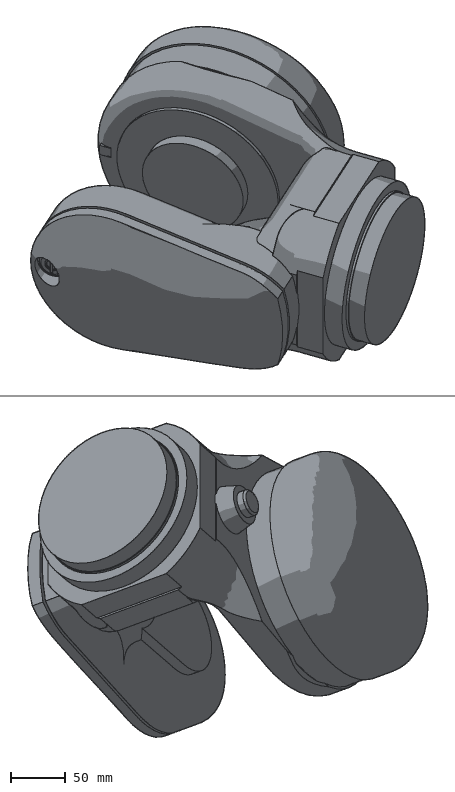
import cadquery as cq
import math


cap_radius = 106.0
barrel_radius = 104.0
arm_radius = 106.0
arm_taper = math.radians(12)
waist_radius = 150.0
arm_inner_y = 48.4
arm_back_y = 84.0
barrel_start_y = 81.4
cap_start_y = 111.0
cap_apex_y = 167.4
dome_radius_x = 295.0
dome_radius_z = 230.0
cap_fillet = 20.0
arm_edge_fillet = 17.0
disc_radius = 80.0
disc_y = 45.0
spigot_radius = 50.0
spigot_y = 34.2
tab_size = 11.0
tab_center_x = -92.5
tab_y = 47.5
tab_depth = 10.0

hub_end_x = 154.0
hub_half = 85.0
block_half = 83.0
block_end_x = 179.5
corner_radius = 95.0
flare_start_x = 148.0
flare_end_x = 72.0
flare_radius = 131.0
web_back_x = 128.2
web_nose_x = 92.0
web_radius = 118.0
web_corner_fillet = 28.0
web_edge_fillet = 8.0
ring_radius = 80.0
ring_end_x = 197.0
collar_radius = 71.0
collar_end_x = 199.3
flange_radius = 70.0
flange_end_x = 215.0

nub_x = 132.0
nub_base_radius = 22.8
nub_top_radius = 18.5
nub_top_y = 100.2
button_radius = 12.5
button_top_radius = 10.5
button_top_y = 108.8

front_center_x = -18.0
front_radius = 78.0
front_taper = math.radians(9)
corner_start_x = 112.0
corner_end_x = 150.0
corner_end_z = 40.0
front_end_x = 155.5
front_inner_y = -62.0
front_outer_y = -104.8
front_edge_fillet = 17.0
pad_radius = 45.0
pad_y = -51.3
pad_overlap = 5.0
gusset_axis_x = 99.0
gusset_tip = (7.0, 21.0)
gusset_side = (31.0, -12.0)
gusset_waist = (48.3, -45.7)
gusset_flare = (61.0, -60.7)
gusset_foot_radius = 78.0
groove_depth = 4.0
cover_start_y = -107.6
cover_rim_y = -117.5
cover_apex_y = -137.56
crown_sections = [
    (45.0, 69.0, -136.6),
    (112.0, 58.6, -131.0),
    (156.0, 48.0, -120.5),
]

screw_x = -76.0
screw_well_radius = 14.5
screw_well_y = -114.0
screw_head_radius = 12.5
screw_top_radius = 10.5
screw_head_height = 2.0
screw_recess_radius = 5.0
screw_ring_radius = 6.5
screw_recess_depth = 1.0
slot_depth = 1.5
slot_width = 2.5


def disc(radius, y_from, y_to, x=0.0):
    """Cylinder along Y."""
    return cq.Workplane("XZ", origin=(x, y_from, 0)).circle(radius).extrude(y_from - y_to)


def x_cylinder(radius, x_from, x_to):
    """Cylinder along X."""
    return cq.Workplane("YZ", origin=(x_from, 0, 0)).circle(radius).extrude(x_to - x_from)


def fork_blank():
    """Back arm outline carried forward over the full depth of the hub."""
    tangent = (arm_radius * math.sin(arm_taper), arm_radius * math.cos(arm_taper))
    meet_x = (arm_radius - hub_half * math.cos(arm_taper)) / math.sin(arm_taper)
    return (
        cq.Workplane("XZ", origin=(0, arm_back_y, 0))
        .moveTo(hub_end_x, hub_half)
        .lineTo(meet_x, hub_half)
        .lineTo(*tangent)
        .threePointArc((-arm_radius, 0), (tangent[0], -tangent[1]))
        .lineTo(meet_x, -hub_half)
        .lineTo(hub_end_x, -hub_half)
        .close()
        .extrude(arm_back_y + hub_half)
        .edges(cq.selectors.BoxSelector(
            (meet_x - 1, -2 * hub_half, -2 * hub_half), (meet_x + 1, 2 * hub_half, 2 * hub_half)
        ))
        .fillet(waist_radius)
    )


def hub_rounding():
    """Round envelope that flares out smoothly from the hub towards the arm."""
    return (
        cq.Workplane("XY")
        .moveTo(hub_end_x, 0)
        .lineTo(hub_end_x, corner_radius)
        .lineTo(flare_start_x, corner_radius)
        .tangentArcPoint((flare_end_x, flare_radius), relative=False)
        .lineTo(-cap_radius, flare_radius)
        .lineTo(-cap_radius, 0)
        .close()
        .revolve(360, (0, 0, 0), (1, 0, 0))
    )


def web_bulge():
    """Rounded nose that fills the root of the fork, its borders softened."""
    nose = disc(web_radius, arm_inner_y, -hub_half, web_nose_x + web_radius)
    bar = cq.Workplane("XY").box(hub_end_x, 4 * hub_half, 2 * hub_half, centered=(False, True, True))
    nose = nose.intersect(bar).intersect(x_cylinder(corner_radius, 0, hub_end_x))
    front = cq.selectors.NearestToPointSelector((web_nose_x, 0, 0))
    borders = nose.faces(front).edges(cq.selectors.BoxSelector(
        (0, -hub_half - 1, -hub_half - 1), (hub_end_x, arm_inner_y - 1, hub_half + 1),
    ))
    return borders.fillet(web_edge_fillet)


def arm_and_hub():
    """Back arm turning through a rounded corner into the hub, with the web's bulge."""
    length = 3 * arm_radius
    opening = (
        cq.Workplane("XY", origin=(web_back_x - length / 2, arm_inner_y - length / 2, 0))
        .box(length, length, length)
        .edges(">X and >Y")
        .fillet(web_corner_fillet)
    )
    body = fork_blank().cut(opening)
    inner_face = cq.selectors.NearestToPointSelector((0, arm_inner_y, 0))
    rim_start = cq.selectors.NearestToPointSelector((-arm_radius, arm_inner_y, 0))
    body = body.faces(inner_face).edges(rim_start).fillet(arm_edge_fillet)
    return body.intersect(hub_rounding()).union(web_bulge())


def flange():
    """Square block with rounded corners, then the round mounting steps."""
    square = cq.Workplane("XY").box(
        block_end_x - hub_end_x, 2 * block_half, 2 * block_half, centered=(False, True, True)
    )
    block = square.translate((hub_end_x, 0, 0)).intersect(x_cylinder(corner_radius, hub_end_x, block_end_x))
    ring = x_cylinder(ring_radius, block_end_x, ring_end_x)
    collar = x_cylinder(collar_radius, ring_end_x, collar_end_x)
    end = x_cylinder(flange_radius, collar_end_x, flange_end_x)
    return block.union(ring).union(collar).union(end)


def barrel():
    """Barrel with a cap whose dome curves more along Z than along X."""
    axis_y = cap_apex_y - dome_radius_x
    reach = 1.1 * cap_radius
    rim_y = cap_apex_y - dome_radius_z + math.sqrt(dome_radius_z**2 - reach**2)
    dome = (
        cq.Workplane("YZ")
        .moveTo(axis_y, -reach)
        .lineTo(rim_y, -reach)
        .threePointArc((cap_apex_y, 0), (rim_y, reach))
        .lineTo(axis_y, reach)
        .close()
        .revolve(360, (axis_y, 0, 0), (axis_y, 1, 0))
    )
    cap = disc(cap_radius, cap_start_y, cap_apex_y).intersect(dome)
    cap = cap.faces(cq.selectors.NearestToPointSelector((0, cap_apex_y, 0))).edges().fillet(cap_fillet)
    return cap.union(disc(barrel_radius, barrel_start_y, cap_start_y))


def nub():
    """Cone with a chamfered button on top, revolved about an axis along Y."""
    return (
        cq.Workplane("XY", origin=(nub_x, 0, 0))
        .moveTo(0, arm_inner_y)
        .lineTo(nub_base_radius, arm_inner_y)
        .lineTo(nub_base_radius, arm_back_y)
        .lineTo(nub_top_radius, nub_top_y)
        .lineTo(button_radius, nub_top_y)
        .lineTo(button_radius, button_top_y - button_radius + button_top_radius)
        .lineTo(button_top_radius, button_top_y)
        .lineTo(0, button_top_y)
        .close()
        .revolve(360, (0, 0, 0), (0, 1, 0))
    )


def teardrop(y_from, y_to, inset=0.0):
    """Plate with the outline shared by the front arm and its cover."""
    radius = front_radius - inset
    start_x = front_center_x - radius
    tangent = (front_center_x + radius * math.sin(front_taper), radius * math.cos(front_taper))
    corner_z = (radius - (corner_start_x - front_center_x) * math.sin(front_taper)) / math.cos(front_taper)
    mid_angle = (math.pi / 2 + front_taper) / 2
    mid = (front_center_x - radius * math.cos(mid_angle), radius * math.sin(mid_angle))
    end_z = corner_end_z - inset
    end_sag = front_end_x - corner_end_x
    end_radius = (end_z**2 + end_sag**2) / (2 * end_sag)
    return (
        cq.Workplane("XZ", origin=(0, y_from, 0))
        .moveTo(start_x, 0)
        .threePointArc(mid, tangent)
        .lineTo(corner_start_x, corner_z)
        .tangentArcPoint((corner_end_x - inset, end_z), relative=False)
        .radiusArc((front_end_x - inset, 0), end_radius)
        .mirrorX()
        .extrude(y_from - y_to)
    )


def front_arm():
    """Front arm with a rounded inner edge and a set-back neck under the cover."""
    arm = teardrop(front_inner_y, front_outer_y)
    arm = arm.faces(">Y").edges().fillet(front_edge_fillet)
    return arm.union(teardrop(front_outer_y, cover_start_y, groove_depth))


def pad():
    """Round-ended pad on the inner face of the front arm."""
    length = web_nose_x
    bar = (
        cq.Workplane("XZ", origin=(length / 2, pad_y, 0))
        .rect(length, 2 * pad_radius)
        .extrude(pad_y - front_inner_y + pad_overlap)
    )
    return bar.union(disc(pad_radius, pad_y, front_inner_y - pad_overlap))


def gusset():
    """Blunt cone with a flared foot that braces the web against the front arm."""
    cone = (
        cq.Workplane("XY", origin=(gusset_axis_x, 0, 0))
        .moveTo(0, gusset_tip[1])
        .lineTo(*gusset_tip)
        .threePointArc(gusset_side, gusset_waist)
        .threePointArc(gusset_flare, (gusset_foot_radius, front_inner_y - front_edge_fillet))
        .lineTo(0, front_inner_y - front_edge_fillet)
        .close()
        .revolve(360, (0, 0, 0), (0, 1, 0))
    )
    return cone.intersect(teardrop(gusset_tip[1], front_outer_y))


def tab():
    """Small index tab at the rim of the back arm's inner face."""
    block = cq.Workplane("XY").box(tab_size, tab_depth, tab_size, centered=(True, False, True))
    return block.translate((tab_center_x, tab_y, 0))


def dome_section(x, half_width, apex_y):
    """Segment of the cover's dome across X, as a closed wire."""
    return (
        cq.Workplane("YZ", origin=(x, 0, 0))
        .moveTo(cover_rim_y, -half_width)
        .threePointArc((apex_y, 0), (cover_rim_y, half_width))
        .close()
        .val()
    )


def screw():
    """Chamfered screw head with a ring groove and a slot."""
    top_y = screw_well_y - screw_head_height
    head = disc(screw_head_radius, screw_well_y, top_y, screw_x)
    head = head.faces("<Y").chamfer(screw_head_height / 2, screw_head_radius - screw_top_radius)
    rim = disc(screw_ring_radius, top_y + screw_recess_depth, top_y, screw_x)
    post = disc(screw_recess_radius, top_y + screw_recess_depth, top_y, screw_x)
    head = head.cut(rim.cut(post))
    slot = cq.Workplane("XY").box(slot_width, 2 * slot_depth, 2 * screw_top_radius)
    return head.cut(slot.translate((screw_x, top_y, 0)))


def cover():
    """Rim plate under a dome: a spherical end followed by a tapering crown."""
    rim = teardrop(cover_start_y, cover_rim_y)
    depth = cover_rim_y - cover_apex_y
    ball_radius = (front_radius**2 + depth**2) / (2 * depth)
    ball = cq.Workplane("XY").sphere(ball_radius)
    ball = ball.translate((front_center_x, cover_apex_y + ball_radius, 0))
    round_end = disc(front_radius, cover_rim_y, cover_apex_y, front_center_x).intersect(ball)
    sections = [dome_section(front_center_x, front_radius, cover_apex_y)]
    sections += [dome_section(*section) for section in crown_sections]
    crown = cq.Workplane(obj=cq.Solid.makeLoft(sections))
    crown = crown.intersect(teardrop(cover_rim_y, 1.1 * cover_apex_y))
    body = rim.union(round_end).union(crown)
    body = body.cut(disc(screw_well_radius, screw_well_y, cover_apex_y, screw_x))
    return body.union(screw())


housing = arm_and_hub()
housing = housing.union(front_arm().union(gusset()).union(pad()))
housing = housing.union(flange()).union(barrel()).union(nub())
housing = housing.union(disc(disc_radius, arm_inner_y + 1, disc_y))
housing = housing.union(disc(spigot_radius, arm_inner_y, spigot_y))
housing = housing.union(tab())

result = cq.Compound.makeCompound([housing.val(), cover().val()])